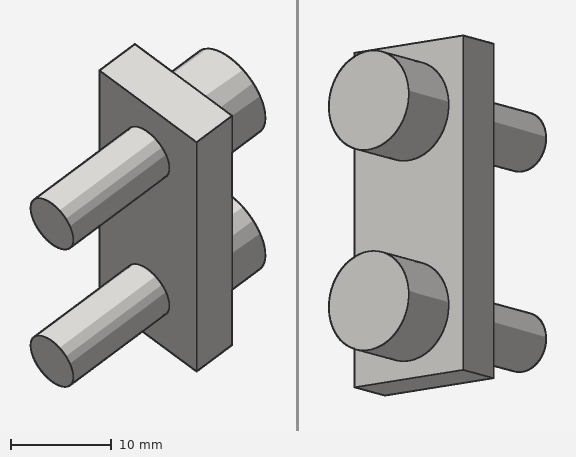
import cadquery as cq

plate_width = 13.6
plate_thickness = 5.0
plate_height = 33.9

stud_spacing = 20.3
pin_diameter = 6.0
pin_length = 13.5
head_diameter = 10.0
head_length = 6.5


def cylinder_along_y(diameter, start_y, length, center_z):
    """Solid cylinder running from start_y towards +Y."""
    return cq.Workplane(
        cq.Solid.makeCylinder(
            diameter / 2,
            length,
            cq.Vector(0, start_y, center_z),
            cq.Vector(0, 1, 0),
        )
    )


result = cq.Workplane("XY").box(
    plate_width, plate_thickness, plate_height, centered=(True, False, True)
)

for stud_z in (-stud_spacing / 2, stud_spacing / 2):
    pin = cylinder_along_y(pin_diameter, -pin_length, pin_length, stud_z)
    head = cylinder_along_y(head_diameter, plate_thickness, head_length, stud_z)
    result = result.union(pin).union(head)